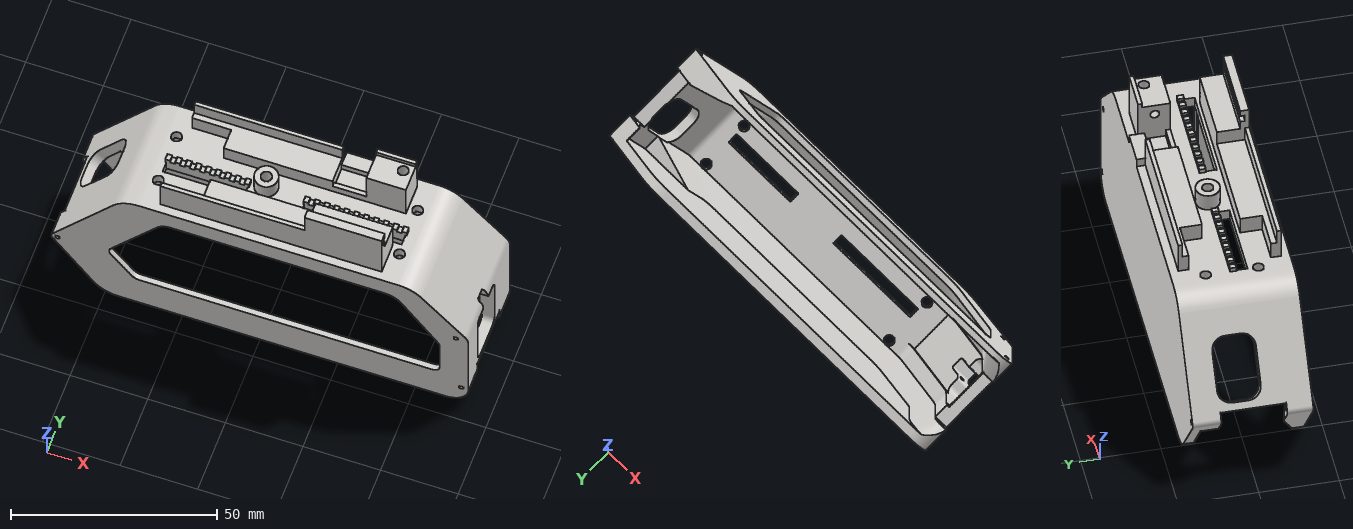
import cadquery as cq
import math

length = 107.5
width = 30.0
body_height = 45.3
half_width = width / 2
outside_x = length + 1.1
outside_z = -1.1
outside_nose_x = -1.1
through = 214.9

side_angle = math.radians(54.5)
tip_z = 19.0
tip_radius = 1.6
large_radius = 8.0
corner_radius = 3.7
rear_bottom_radius = 6.0
rear_slope_top_x = 92.9
rear_slope_bottom_z = 29.3
tip_x = tip_radius - tip_radius / math.sin(side_angle)

front_inner_y = -8.5
back_inner_y = 7.8
front_plate_y = -13.3
back_plate_y = 12.4

ceiling_z = 42.4
rear_wall_x = 103.6
rear_wall_bottom_z = 8.2
rear_hinge = (105.6, 6.3)
rear_wall_bend_z = 26.0
rear_bend_radius = 6.0
rear_recess_depth = 0.8
rear_recess_y = 3.8
ceiling_rear_x = 91.8
nose_wall = 3.0
nose_wall_bottom_z = 21.2
cavity_radius = 2.1

back_pocket_rear_x = 99.2
back_pocket_top_z = 36.5
back_pocket_nose_x = 24.1

window_top_z = 39.5
window_bottom_z = 10.6
window_rear_x = 100.0
window_nose_top = (28.6, window_top_z, 4.0)
window_rear_top = (88.5, window_top_z, 5.5)
window_rear_bend = (window_rear_x, 23.3, 2.7)
window_tip = (14.4, 19.9, 2.0)
window_outline = [
    window_nose_top,
    window_rear_top,
    window_rear_bend,
    (window_rear_x, window_bottom_z, 2.0),
    (21.5, window_bottom_z, 2.7),
    window_tip,
]

rail_start_x = 27.3
rail_end_x = 84.3
rail_step_x = 37.4
rail_outer_y = 12.8
rail_plate_inner_y = 11.7
rail_foot_inner_y = 10.2
rail_inner_y = 4.7
rail_base_z = 50.0
rail_plate_z = 53.8

tower_start_x = 64.5
tower_inner_y = 10.5
tower_top_z = 59.7
groove_bottom_z = 56.2
groove_top_z = 58.0

saddle_start_x = 65.4
block_start_x = 74.1
saddle_top_z = 47.7
saddle_floor_z = 45.8
saddle_floor_y = (5.9, 11.2)
block_top_z = 56.4
block_lip_z = 57.6

pin_strips = [(24.4, 46.0, 9), (60.0, 86.6, 11)]
strip_y = (-1.1, 0.5)
strip_base_z = 45.8
pin_top_z = 46.5
slot_width = 2.8
slot_end_inset = 0.3

mount_hole_x = (24.6, 86.7)
mount_hole_y = (-6.6, 6.6)
screw_diameter = 2.7
pivot_diameter = 1.2
pivot_holes = [(tip_radius, tip_z), (104.2, 28.6), rear_hinge]
end_hole_diameter = 2.3
end_hole_centre = (8.6, 53.5)
block_hole_centre = (81.9, 9.7)
block_hole_depth = 5.4
boss_diameter = 6.0
boss_bore = 2.8
boss_centre = (49.9, 0.6)


def nose_x(z, depth=0.0):
    """X of a line parallel to the upper nose flank, a given depth inside it."""
    return tip_x + depth / math.sin(side_angle) + (z - tip_z) / math.tan(side_angle)


def box(x_range, y_range, z_range):
    size = [high - low for low, high in (x_range, y_range, z_range)]
    return cq.Workplane("XY").box(*size, centered=False).translate((x_range[0], y_range[0], z_range[0]))


def outline(y, corners):
    """Closed XZ outline at a given Y; each corner is (x, z, rounding radius)."""
    path = cq.Workplane("XZ", origin=(0, y, 0))
    started = False
    for i, (x, z, radius) in enumerate(corners):
        corner = cq.Vector(x, z)
        to_previous = (cq.Vector(*corners[i - 1][:2]) - corner).normalized()
        to_next = (cq.Vector(*corners[(i + 1) % len(corners)][:2]) - corner).normalized()
        half_angle = to_previous.getAngle(to_next) / 2
        setback = radius / math.tan(half_angle)
        start = corner + to_previous * setback
        path = path.lineTo(start.x, start.y) if started else path.moveTo(start.x, start.y)
        started = True
        if radius > 0:
            bisector = (to_previous + to_next).normalized()
            middle = corner + bisector * (radius / math.sin(half_angle) - radius)
            end = corner + to_next * setback
            path = path.threePointArc((middle.x, middle.y), (end.x, end.y))
    return path.close()


def prism(corners, y_range):
    return outline(y_range[1], corners).extrude(y_range[1] - y_range[0])


def tapered_pocket(inner_y, inner_corners, outer_y, outer_corners):
    inner_wire = outline(inner_y, inner_corners).wires().val()
    outer_wire = outline(outer_y, outer_corners).wires().val()
    return cq.Workplane(cq.Solid.makeLoft([inner_wire, outer_wire], True))


def y_hole(x, z, diameter):
    return cq.Workplane("XZ").center(x, z).circle(diameter / 2).extrude(through, both=True)


def z_hole(x, y, diameter, bottom_z):
    return cq.Workplane("XY", origin=(x, y, bottom_z)).circle(diameter / 2).extrude(through)


def make_body():
    profile = [
        (tip_x, tip_z, tip_radius),
        (nose_x(body_height), body_height, large_radius),
        (rear_slope_top_x, body_height, large_radius),
        (length, rear_slope_bottom_z, corner_radius),
        (length, 0, rear_bottom_radius),
        (tip_x + tip_z / math.tan(side_angle), 0, large_radius),
    ]
    return prism(profile, (-half_width, half_width))


def make_centre_cavity():
    """Opening between the end blocks, with the nose gap and the rear wall left above its sill."""
    chamber = [
        (nose_x(ceiling_z, nose_wall), ceiling_z, cavity_radius),
        (ceiling_rear_x, ceiling_z, cavity_radius),
        (rear_wall_x, rear_wall_bend_z, rear_bend_radius),
        (rear_wall_x, outside_z, 0),
        (outside_nose_x, outside_z, 0),
        (outside_nose_x, nose_wall_bottom_z, 0),
        (nose_x(nose_wall_bottom_z, nose_wall), nose_wall_bottom_z, 0),
    ]
    y_range = (front_inner_y, back_inner_y)
    below_rear_wall = box((rear_wall_x, outside_x), y_range, (outside_z, rear_wall_bottom_z))
    middle_x = length / 2
    recess_x = rear_wall_x + rear_recess_depth
    recess = [
        (middle_x, ceiling_z, 0),
        (ceiling_rear_x + rear_recess_depth, ceiling_z, 0),
        (recess_x, rear_wall_bend_z, 0),
        (recess_x, outside_z, 0),
        (middle_x, outside_z, 0),
    ]
    recess_cut = prism(recess, (front_inner_y, rear_recess_y))
    return prism(chamber, y_range).union(below_rear_wall).union(recess_cut)


def hinge_boss_corners(face_x):
    """Rounds the foot of a rear block about the lower hinge hole, then runs out of the body."""
    radius = rear_hinge[0] - face_x
    foot_z = rear_hinge[1] - radius
    return [
        (face_x, foot_z, radius),
        (outside_x, foot_z, 0),
        (outside_x, outside_z, 0),
    ]


def inner_pocket_top():
    """Pocket corners shared by both end block faces, above the hinge."""
    return [
        (nose_x(ceiling_z, nose_wall), ceiling_z, cavity_radius),
        (ceiling_rear_x, ceiling_z, cavity_radius),
        (rear_wall_x, rear_wall_bend_z, rear_bend_radius),
    ]


def make_front_pocket():
    """Tapers from the end blocks out to the window in the thin front plate, open below."""
    inner_foot = (4.5, 12.0)
    outer_foot = (13.9, -0.5)
    inner = inner_pocket_top() + hinge_boss_corners(rear_wall_x) + [
        (inner_foot[0], outside_z, 0),
        (*inner_foot, 0),
        (nose_x(tip_z, nose_wall), tip_z, 0),
    ]
    outer = [window_nose_top, window_rear_top, window_rear_bend] + hinge_boss_corners(window_rear_x) + [
        (outer_foot[0], outside_z, 0),
        (*outer_foot, 0),
        (window_tip[0], window_tip[1], 0),
    ]
    return tapered_pocket(front_inner_y, inner, front_plate_y, outer)


def make_back_pocket():
    """Tapers from the end blocks out to the thin back plate; straight-sided below the nose ledge."""
    ledge_z = 27.7
    ledge_x = nose_x(ledge_z, nose_wall)
    inner = inner_pocket_top() + hinge_boss_corners(rear_wall_x) + [
        (ledge_x, outside_z, 0),
        (ledge_x, ledge_z, 0),
    ]
    outer = [
        (30.3, back_pocket_top_z, 5.5),
        (88.4, back_pocket_top_z, 5.5),
        (back_pocket_rear_x, 23.1, 2.7),
    ] + hinge_boss_corners(back_pocket_rear_x) + [
        (back_pocket_nose_x, outside_z, 0),
        (back_pocket_nose_x, ledge_z, 0),
    ]
    foot_z = 14.0
    foot_x = nose_x(tip_z, nose_wall)
    lower = [
        (ledge_x, ledge_z, 0),
        (length / 2, ledge_z, 0),
        (length / 2, outside_z, 0),
        (outside_nose_x, outside_z, 0),
        (outside_nose_x, foot_z, 0),
        (foot_x, foot_z, 0),
        (foot_x, tip_z, 0),
    ]
    taper = tapered_pocket(back_inner_y, inner, back_plate_y, outer)
    return taper.union(prism(lower, (back_inner_y, back_plate_y)))


def make_rear_opening():
    """Window through the rear wall with a narrow notch reaching up into the rear slope."""
    main_y = (-8.2, 4.0)
    main_bottom_z = 9.5
    main_top_z = 27.5
    main_radius = 2.0
    notch_y = (-4.2, -0.9)
    notch_top_z = 30.9
    notch_radius = 0.5
    step_radius = 1.0
    x_range = (ceiling_rear_x, outside_x)
    main = box(x_range, main_y, (main_bottom_z, main_top_z)).edges("|X").fillet(main_radius)
    notch = box(x_range, notch_y, (rear_wall_bend_z, notch_top_z)).edges("|X").fillet(notch_radius)
    notch_corner = cq.selectors.NearestToPointSelector((rear_wall_x, notch_y[1], main_top_z))
    return main.union(notch).edges(notch_corner).fillet(step_radius)


def make_nose_slot():
    """Rounded slot cut square to the upper nose flank."""
    slot_y = 2.6
    slot_z = 29.5
    slot_size = (10.9, 16.5)
    slot_corner_radius = 3.5
    slot_depth = 8.6
    flank = cq.Plane(
        origin=(nose_x(slot_z), slot_y, slot_z),
        xDir=(0, 1, 0),
        normal=(math.sin(side_angle), 0, -math.cos(side_angle)),
    )
    slot = cq.Workplane(flank).rect(*slot_size).extrude(slot_depth, both=True)
    return slot.edges(cq.selectors.ParallelDirSelector(flank.zDir)).fillet(slot_corner_radius)


def make_deck_cuts():
    deck_cut_bottom_z = back_pocket_top_z - 10.7
    cuts = cq.Workplane("XY")
    for x in mount_hole_x:
        for y in mount_hole_y:
            cuts = cuts.union(z_hole(x, y, screw_diameter, deck_cut_bottom_z))
    for start_x, end_x, _ in pin_strips:
        slot_y = (strip_y[0] - slot_width, strip_y[0])
        slot_x = (start_x + slot_end_inset, end_x - slot_end_inset)
        cuts = cuts.union(box(slot_x, slot_y, (deck_cut_bottom_z, body_height)))
    return cuts


def make_pin_strip(start_x, end_x, count):
    """Low strip carrying pins separated by gaps of their own width."""
    pin_width = (end_x - start_x) / (2 * count - 1)
    strip = box((start_x, end_x), strip_y, (body_height, strip_base_z))
    for i in range(count):
        pin_x = start_x + 2 * i * pin_width
        strip = strip.union(box((pin_x, pin_x + pin_width), strip_y, (body_height, pin_top_z)))
    return strip


def make_boss():
    deck = cq.Workplane("XY", origin=(*boss_centre, body_height))
    boss = deck.circle(boss_diameter / 2).extrude(rail_base_z - body_height)
    return boss.cut(z_hole(*boss_centre, boss_bore, body_height))


def make_rail(end_x):
    """Back rail: outer foot, wide base after the step, and a thin upright plate."""
    foot = box((rail_start_x, end_x), (rail_foot_inner_y, rail_outer_y), (body_height, rail_base_z))
    base = box((rail_step_x, end_x), (rail_inner_y, rail_outer_y), (body_height, rail_base_z))
    plate = box((rail_start_x, end_x), (rail_plate_inner_y, rail_outer_y), (body_height, rail_plate_z))
    return foot.union(base).union(plate)


def make_front_rail():
    rail = make_rail(rail_end_x).mirror("XZ")
    tower_x = (tower_start_x, rail_end_x)
    tower = box(tower_x, (-rail_outer_y, -rail_inner_y), (body_height, rail_plate_z))
    column = box(tower_x, (-rail_outer_y, -tower_inner_y), (body_height, tower_top_z))
    groove = box(tower_x, (-rail_plate_inner_y, -tower_inner_y), (groove_bottom_z, groove_top_z))
    return rail.union(tower).union(column).cut(groove)


def make_back_rail():
    rail = make_rail(saddle_start_x)
    saddle_x = (saddle_start_x, block_start_x)
    saddle = box(saddle_x, (rail_inner_y, half_width), (body_height, saddle_top_z))
    saddle = saddle.cut(box(saddle_x, saddle_floor_y, (saddle_floor_z, saddle_top_z)))
    block_x = (block_start_x, rail_end_x)
    block = box(block_x, (rail_inner_y, rail_outer_y), (body_height, block_top_z))
    block = block.union(box(block_x, (rail_plate_inner_y, rail_outer_y), (body_height, block_lip_z)))
    top_hole = z_hole(*block_hole_centre, screw_diameter, block_top_z - block_hole_depth)
    end_face = cq.Workplane("YZ", origin=(block_start_x, 0, 0)).center(*end_hole_centre)
    end_hole = end_face.circle(end_hole_diameter / 2).extrude(block_hole_depth)
    return rail.union(saddle).union(block).cut(top_hole).cut(end_hole)


result = make_body()
result = result.cut(make_centre_cavity())
result = result.cut(make_front_pocket())
result = result.cut(make_back_pocket())
result = result.cut(prism(window_outline, (-half_width - 1.1, front_plate_y)))
result = result.cut(make_rear_opening())
result = result.cut(make_nose_slot())

for hole_x, hole_z in pivot_holes:
    result = result.cut(y_hole(hole_x, hole_z, pivot_diameter))

result = result.union(make_front_rail())
result = result.union(make_back_rail())
result = result.union(make_boss())
for pin_strip in pin_strips:
    result = result.union(make_pin_strip(*pin_strip))
result = result.cut(make_deck_cuts())